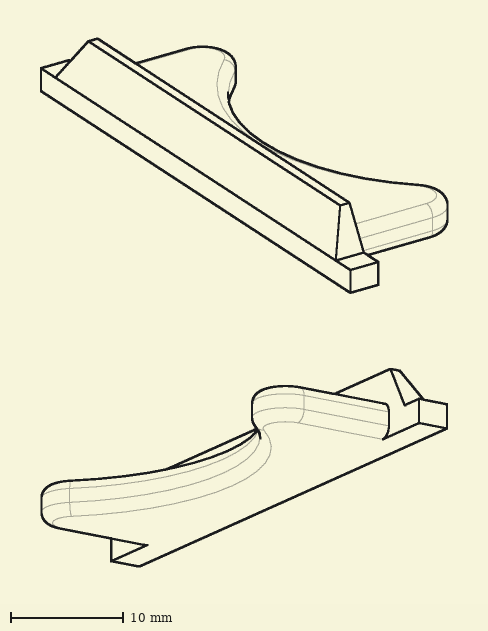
import cadquery as cq
import math

bar_length = 50.0
bar_depth = 3.0
bar_height = 2.27

lip_height = 4.0
lip_top_depth = 1.0
lip_end_angle = 30.0
lip_base_length = 45.3
lip_top_length = lip_base_length - 2 * lip_height * math.tan(math.radians(lip_end_angle))

tongue_width = 40.2
tongue_reach = 12.07
tongue_thickness = 3.3
tip_radius = 3.0
hollow_bottom_y = 7.5
edge_radius = 1.0

tongue_half_width = tongue_width / 2
tongue_end_y = bar_depth + tongue_reach
tip_center_x = tongue_half_width - tip_radius
tip_center_y = tongue_end_y - tip_radius

tip_above_hollow = tip_center_y - hollow_bottom_y
hollow_radius = (tip_center_x**2 + tip_above_hollow**2 - tip_radius**2) / (
    2 * (tip_radius + tip_above_hollow)
)
hollow_center_y = hollow_bottom_y + hollow_radius

tip_share = tip_radius / (hollow_radius + tip_radius)
tangent_x = tip_center_x * (1 - tip_share)
tangent_y = tip_center_y + (hollow_center_y - tip_center_y) * tip_share


def make_bar():
    """Make the plain rectangular bar."""
    return cq.Workplane("XY").box(bar_length, bar_depth, bar_height, centered=(True, False, False))


def make_lip():
    """Make the lip with a vertical back, a sloping front and sloping ends."""
    front_slope = (
        cq.Workplane("YZ")
        .moveTo(0, bar_height)
        .lineTo(bar_depth, bar_height)
        .lineTo(bar_depth, bar_height + lip_height)
        .lineTo(bar_depth - lip_top_depth, bar_height + lip_height)
        .close()
        .extrude(lip_base_length / 2, both=True)
    )
    end_slopes = (
        cq.Workplane("XZ")
        .moveTo(-lip_base_length / 2, bar_height)
        .lineTo(lip_base_length / 2, bar_height)
        .lineTo(lip_top_length / 2, bar_height + lip_height)
        .lineTo(-lip_top_length / 2, bar_height + lip_height)
        .close()
        .extrude(-bar_depth)
    )
    return front_slope.intersect(end_slopes)


def make_tongue():
    """Make the tongue with its side and rear edges rounded above and below."""
    outline = (
        cq.Workplane("XY")
        .moveTo(-tongue_half_width, bar_depth)
        .lineTo(tongue_half_width, bar_depth)
        .lineTo(tongue_half_width, tip_center_y)
        .tangentArcPoint((tangent_x, tangent_y), relative=False)
        .threePointArc((0, hollow_bottom_y), (-tangent_x, tangent_y))
        .tangentArcPoint((-tongue_half_width, tip_center_y), relative=False)
        .close()
    )
    blank = outline.extrude(tongue_thickness)
    front_edges = cq.selectors.BoxSelector(
        (-tongue_width, bar_depth - edge_radius, -edge_radius),
        (tongue_width, bar_depth + edge_radius, tongue_thickness + edge_radius),
    )
    rounded_edges = cq.selectors.SubtractSelector(cq.StringSyntaxSelector("#Z"), front_edges)
    return blank.edges(rounded_edges).fillet(edge_radius)


result = make_bar().union(make_lip()).union(make_tongue())